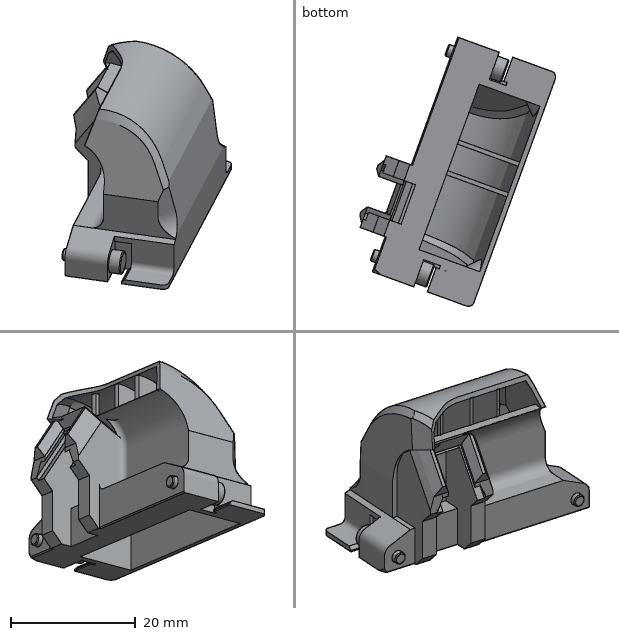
import cadquery as cq
import math

PART_TURN = 20.0
WALL = 0.8
FAR = 34.5
FRONT_X = -7.35
BACK_X = 9.65

BASE_TOP = 6.5
BASE_HALF = 15.85
EAR_HALF = 20.0
EAR_BACK_X = -0.25
EAR_SLOPE_DROP = 2.2
EAR_RADIUS = 1.9
FOOT_CHAMFER = 0.2
MARK_ALONG_X = 1.55
MARK_ALONG_Y = 0.6
MARK_HEIGHT = 0.95

FLANGE_FRONT_X = 2.03
FLANGE_THICK = 0.8
FLANGE_CHAMFER = 0.55
FLANGE_CORNER = 1.0
FLANGE_FILLET = 0.95

SCREW_Y = 17.45
SCREW_Z = 2.4
SCREW_D = 2.0
SCREW_HOLE_D = 2.1
SCREW_CHAMFER = 0.17
SCREW_PROUD = 0.95
HEAD_D = 3.8
HEAD_LENGTH = 1.95
HEAD_POCKET_TOP = 5.17
HEAD_POCKET_BACK_X = 2.6
HEAD_POCKET_Y = 15.35

HOOD_HALF = 14.9
DOME_X = -4.4
DOME_Z = 13.6
DOME_RADIUS = 12.25
DOME_END_ANGLE = math.radians(26)
DOME_FACET = 3.25
BACK_FOOT_Z = 6.9
END_TILT_Z = 13.1
NEAR_END_TILT = 0.375
FAR_END_TILT = 0.155
END_CHAMFER_ON_FACE = 1.0
END_CHAMFER_ON_DOME = 0.78
CORNER_REACH = 15.3
CORNER_FLARE_TOP = 10.35
CORNER_FLARE_RUN = 2.45
SCOOP_X = -2.35
SCOOP_FOOT_RADIUS = 2.1
SCOOP_ARC_Z = 14.55
SCOOP_ARC_RADIUS = 5.9
SILL_Z = 20.05
SPOUT_X = -10.35
SPOUT_LIP_Z = 21.25

RIM_Z = 25.1
RIM_X = -4.6
RIM_LEAN = 0.31
RIM_RISE = 4.3
RIM_DROP = 6.45
RIM_BEND_START_Y = 3.0
RIM_BEND_MID = (-4.87, 5.3)
RIM_BEND_END = (-5.78, 7.35)
SPOUT_TIP = (-8.5, 11.65)
SPOUT_HEEL = (-4.9, 13.02)

RIB_YS = (-4.23, 1.0)
POST_Y = 6.8
POST_DEPTH = 0.85
RIB_THICK = 0.7
RIB_SLANT = 0.25
RIB_FRONT_X = -4.55

FRAME_Y = 7.9
FRAME_LEAN = 0.68
RIDGE_FOOT = (-12.35, 15.52)
RIDGE_TOP_Z = 21.17
ARM_INNER = 3.35
ARM_OUTER = 6.12
ARM_BEVEL_START = 3.75
ARM_BEVEL_DROP = 3.0
SEAT_X = -5.6
BEAD_RADIUS = 0.95
BEAD_TOP_Z = 18.97


def arc_point(center, radius, angle):
    return (center[0] + radius * math.cos(angle), center[1] + radius * math.sin(angle))


SCOOP_CENTER = (SCOOP_X - SCOOP_ARC_RADIUS, SCOOP_ARC_Z)
SCOOP_FOOT_CENTER = (SCOOP_X - SCOOP_FOOT_RADIUS, BASE_TOP + SCOOP_FOOT_RADIUS)
SCOOP_FOOT_MID = arc_point(SCOOP_FOOT_CENTER, SCOOP_FOOT_RADIUS, -math.pi / 4)
SILL_ANGLE = math.asin((SILL_Z - SCOOP_ARC_Z) / SCOOP_ARC_RADIUS)
SILL_EDGE = arc_point(SCOOP_CENTER, SCOOP_ARC_RADIUS, SILL_ANGLE)
RIDGE_TOP = (RIDGE_FOOT[0] + FRAME_LEAN * (RIDGE_TOP_Z - RIDGE_FOOT[1]), RIDGE_TOP_Z)


def prism_x(points, x_start, x_end):
    """Extrude a YZ polygon from x_start to x_end."""
    outline = cq.Workplane("YZ").polyline(points).close()
    return outline.extrude(x_end - x_start).translate((x_start, 0, 0))


def prism_y(outline, y_start, y_end):
    """Extrude an open XZ outline, once closed, from y_start to y_end."""
    return outline.close().extrude(y_start - y_end).translate((0, y_start, 0))


def box(x_range, y_range, z_range):
    size = [high - low for low, high in (x_range, y_range, z_range)]
    corner = (x_range[0], y_range[0], z_range[0])
    return cq.Workplane("XY").box(*size, centered=False).translate(corner)


def leaning_prism(outline):
    """Sweep an XY outline laid out at RIM_Z up and down along the lean of the rim."""
    lean = cq.Vector(RIM_LEAN, -FAR_END_TILT, 1)
    bottom = cq.Vector(0, 0, RIM_Z) - lean * RIM_DROP
    wire = outline.close().val().translate(bottom)
    return cq.Workplane(cq.Solid.extrudeLinear(wire, [], lean * (RIM_RISE + RIM_DROP)))


def hood_outline(inset):
    """XZ outline of the hood; with an inset, that of the space inside its wall."""
    dome = (DOME_X, DOME_Z)
    radius = DOME_RADIUS - inset
    spout_x = SPOUT_X - inset
    spout_angle = math.acos((spout_x - DOME_X) / radius)
    ridge = arc_point(dome, radius, DOME_END_ANGLE)
    shoulder = (
        ridge[0] + DOME_FACET * math.sin(DOME_END_ANGLE),
        ridge[1] - DOME_FACET * math.cos(DOME_END_ANGLE),
    )
    scoop_radius = SCOOP_ARC_RADIUS + inset
    sill_angle = math.asin((SILL_Z - SCOOP_ARC_Z) / scoop_radius)
    wall_x = SCOOP_X + inset
    outline = (
        cq.Workplane("XZ")
        .moveTo(BACK_X - inset, 0)
        .lineTo(BACK_X - inset, BACK_FOOT_Z)
        .lineTo(*shoulder)
        .lineTo(*ridge)
        .threePointArc(arc_point(dome, radius, math.pi / 3), arc_point(dome, radius, spout_angle))
        .lineTo(spout_x, SPOUT_LIP_Z)
    )
    if inset:
        outline = outline.lineTo(*RIDGE_TOP)
    outline = outline.lineTo(*SILL_EDGE)
    if inset:
        outline = outline.lineTo(*arc_point(SCOOP_CENTER, scoop_radius, sill_angle))
    arc_middle = arc_point(SCOOP_CENTER, scoop_radius, sill_angle / 2)
    outline = outline.threePointArc(arc_middle, (wall_x, SCOOP_ARC_Z))
    if inset:
        return outline.lineTo(wall_x, 0)
    return (
        outline.lineTo(SCOOP_X, SCOOP_FOOT_CENTER[1])
        .threePointArc(SCOOP_FOOT_MID, (SCOOP_FOOT_CENTER[0], BASE_TOP))
        .lineTo(SCOOP_FOOT_CENTER[0], 0)
    )


def end_trim(side, tilt, half):
    """Material beyond the leaning upper part of an end face."""
    lean = (FAR - END_TILT_Z) * tilt
    points = [(half, END_TILT_Z), (half - lean, FAR), (FAR, FAR), (FAR, END_TILT_Z)]
    return prism_x([(side * y, z) for y, z in points], -FAR, FAR)


def spout_end_trim(inset):
    """Material beyond the slanting end face of the spout."""
    run_x = SPOUT_HEEL[0] - SPOUT_TIP[0]
    run_y = SPOUT_HEEL[1] - SPOUT_TIP[1]
    length = math.hypot(run_x, run_y)
    shift_x = run_y / length * inset
    shift_y = -run_x / length * inset
    past_heel = (SPOUT_HEEL[0] + run_x + shift_x, SPOUT_HEEL[1] + run_y + shift_y)
    past_tip = (SPOUT_TIP[0] - 3 * run_x + shift_x, SPOUT_TIP[1] - 3 * run_y + shift_y)
    points = [past_heel, past_tip, (past_tip[0], FAR), (past_heel[0], FAR)]
    return leaning_prism(cq.Workplane("XY").polyline(points))


def corner_trim(side, inset):
    """Material beyond a rear corner facet that flares out onto the base top."""
    run = CORNER_FLARE_RUN
    height = CORNER_FLARE_TOP - BASE_TOP
    radius = (run**2 + height**2) / (2 * run)
    half_angle = math.asin(height / radius) / 2
    middle = (radius - radius * math.cos(half_angle), CORNER_FLARE_TOP - radius * math.sin(half_angle))
    cutter = (
        cq.Workplane("XZ")
        .moveTo(0, FAR)
        .lineTo(0, CORNER_FLARE_TOP)
        .threePointArc(middle, (run, BASE_TOP))
        .lineTo(FAR, BASE_TOP)
        .lineTo(FAR, FAR)
        .close()
        .extrude(FAR, both=True)
    )
    return cutter.translate((CORNER_REACH - inset, 0, 0)).rotate((0, 0, 0), (0, 0, 1), side * 45)


def rim_trim():
    """Space in front of the window rim, which bends forward into the spout."""
    past_tip = [tip + 2 * (tip - bend) for tip, bend in zip(SPOUT_TIP, RIM_BEND_END)]
    outline = (
        cq.Workplane("XY")
        .moveTo(RIM_X, -FAR)
        .lineTo(RIM_X, RIM_BEND_START_Y)
        .threePointArc(RIM_BEND_MID, RIM_BEND_END)
        .lineTo(*past_tip)
        .lineTo(-FAR, past_tip[1])
        .lineTo(-FAR, -FAR)
    )
    return leaning_prism(outline)


def is_dome_end_edge(edge):
    """True where the dome or its rear facet meets an end face."""
    middle = edge.positionAt(0.5)
    from_dome_axis = math.hypot(middle.x - DOME_X, middle.z - DOME_Z)
    on_outside = from_dome_axis > DOME_RADIUS - WALL - 0.45 and middle.z > SCOOP_ARC_Z + 1.3
    behind_spout_front = edge.Center().x > SPOUT_X + 0.45
    return on_outside and behind_spout_front and abs(edge.tangentAt(0.5).x) > 0.4


def hood_body(inset):
    """The hood before its window opens; with an inset, the space inside it."""
    half = HOOD_HALF - inset
    body = prism_y(hood_outline(inset), -half, half)
    body = body.cut(end_trim(-1, NEAR_END_TILT, half))
    body = body.cut(end_trim(1, FAR_END_TILT, half))
    body = body.cut(spout_end_trim(inset))
    solid = body.solids().val()
    end_edges = [edge for edge in solid.Edges() if is_dome_end_edge(edge)]
    body = cq.Workplane(solid.chamfer(END_CHAMFER_ON_FACE, END_CHAMFER_ON_DOME, end_edges))
    for side in (-1, 1):
        body = body.cut(corner_trim(side, inset))
    return body


def rib(y, back_x):
    """Upright rib behind the window, with a slanting front face."""
    near = y - RIB_THICK / 2
    far = y + RIB_THICK / 2
    outline = [(RIB_FRONT_X, far), (RIB_FRONT_X + RIB_SLANT, near), (back_x, near), (back_x, far)]
    return cq.Workplane("XY", origin=(0, 0, BASE_TOP)).polyline(outline).close().extrude(FAR)


def corner_mark():
    """Small corner cut under the far ear."""
    corner = cq.Vector(FRONT_X, EAR_HALF, 0)
    on_x = corner + cq.Vector(MARK_ALONG_X, 0, 0)
    on_y = corner - cq.Vector(0, MARK_ALONG_Y, 0)
    on_z = corner + cq.Vector(0, 0, MARK_HEIGHT)
    triangles = [(on_x, on_y, on_z), (corner, on_x, on_y), (corner, on_y, on_z), (corner, on_z, on_x)]
    wires = [cq.Wire.makePolygon(triangle, close=True) for triangle in triangles]
    shell = cq.Shell.makeShell([cq.Face.makeFromWires(wire) for wire in wires])
    return cq.Workplane(cq.Solid.makeSolid(shell))


def base_body():
    """Base block with a rounded ear at each end of its front."""
    slope_end = BASE_TOP - EAR_SLOPE_DROP
    far_half = [(EAR_HALF, 0), (EAR_HALF, slope_end), (HOOD_HALF, BASE_TOP)]
    near_half = [(-y, z) for y, z in reversed(far_half)]
    base = prism_x(far_half + near_half, FRONT_X, BACK_X)
    ear_shoulders = cq.selectors.BoxSelector((-FAR, -FAR, slope_end - 0.05), (FAR, FAR, slope_end + 0.05))
    base = base.edges("|X").edges(ear_shoulders).fillet(EAR_RADIUS)
    base = base.faces("<X").edges("<Z").chamfer(FOOT_CHAMFER)
    for side in (-1, 1):
        beyond_base = sorted((side * BASE_HALF, side * FAR))
        base = base.cut(box((EAR_BACK_X, FAR), beyond_base, (-0.45, FAR)))
    between_arms = box((-FAR, SEAT_X), (FRAME_Y - ARM_INNER, FRAME_Y + ARM_INNER), (-0.45, FAR))
    return base.cut(between_arms).cut(corner_mark())


def flange(side):
    """Thin plate behind an ear, with a concave fillet up to the base wall."""
    outline = cq.Workplane("XZ").polyline([
        (FLANGE_FRONT_X, 0),
        (FLANGE_FRONT_X, FLANGE_THICK - FLANGE_CHAMFER),
        (FLANGE_FRONT_X + FLANGE_CHAMFER, FLANGE_THICK),
        (BACK_X, FLANGE_THICK),
        (BACK_X, 0),
    ])
    plate = prism_y(outline, BASE_HALF, EAR_HALF)
    plate = plate.edges("|Z and >X and >Y").fillet(FLANGE_CORNER)
    r = FLANGE_FILLET
    fillet_center = (BASE_HALF + r, FLANGE_THICK + r)
    bead = (
        cq.Workplane("YZ", origin=(HEAD_POCKET_BACK_X, 0, 0))
        .moveTo(BASE_HALF, FLANGE_THICK)
        .lineTo(BASE_HALF + r, FLANGE_THICK)
        .threePointArc(arc_point(fillet_center, r, -0.75 * math.pi), (BASE_HALF, FLANGE_THICK + r))
        .close()
        .extrude(BACK_X - HEAD_POCKET_BACK_X)
    )
    plate = plate.union(bead)
    return plate if side > 0 else plate.mirror("XZ")


def head_pocket(side):
    span = sorted((side * HEAD_POCKET_Y, side * BASE_HALF))
    return box((EAR_BACK_X, HEAD_POCKET_BACK_X), span, (-0.45, HEAD_POCKET_TOP))


def screw_hole(side):
    start = cq.Workplane("YZ", origin=(FRONT_X, side * SCREW_Y, SCREW_Z))
    return start.circle(SCREW_HOLE_D / 2).extrude(EAR_BACK_X - FRONT_X)


def arm():
    """The far arm, with Y measured from the middle of the frame."""
    inside_wall_x = SCOOP_X + 0.45
    profile = cq.Workplane("XZ").polyline([
        (inside_wall_x, 0),
        (-7.55, 0),
        (-9.4, 1.85),
        (-9.4, 8.6),
        (-11.6, 10.8),
        (-11.6, 13.8),
        RIDGE_FOOT,
        RIDGE_TOP,
        SILL_EDGE,
        (-3.9, 18.55),
        (inside_wall_x, SCOOP_ARC_Z),
    ])
    body = prism_y(profile, 0, ARM_OUTER + 0.45)
    section = [
        (2.6, 1.55),
        (3.62, 0),
        (4.23, 0),
        (5.4, 1.55),
        (ARM_OUTER, 2.9),
        (ARM_OUTER, FAR),
        (ARM_INNER, FAR),
        (ARM_INNER, 3.9),
        (4.7, 3.9),
        (4.7, 3.25),
        (3.65, 2.0),
        (2.6, 2.0),
    ]
    across = cq.Plane(
        origin=(RIDGE_FOOT[0], 0, RIDGE_FOOT[1]),
        xDir=(0, 1, 0),
        normal=(-FRAME_LEAN, 0, -1),
    )
    envelope = cq.Workplane(across).polyline(section).close().extrude(FAR, both=True)
    return body.intersect(envelope)


def arm_top_bevel():
    """Material above the bevel on the top outer edge of an arm, following the sill slope."""
    outer = ARM_OUTER + 0.85
    points = [
        (ARM_BEVEL_START, RIDGE_TOP_Z),
        (outer, RIDGE_TOP_Z - ARM_BEVEL_DROP),
        (outer, FAR),
        (ARM_BEVEL_START, FAR),
    ]
    fall = cq.Vector(SILL_EDGE[0] - RIDGE_TOP[0], 0, SILL_Z - RIDGE_TOP_Z)
    corners = [cq.Vector(RIDGE_TOP[0], y, z) - fall for y, z in points]
    wire = cq.Wire.makePolygon(corners, close=True)
    return cq.Workplane(cq.Solid.extrudeLinear(wire, [], fall * 4))


def cross_bar():
    """Bar joining the arms at the top, with the groove carried round under it."""
    profile = cq.Workplane("XZ").polyline([
        RIDGE_TOP,
        (-7.8, 19.25),
        (-7.45, 18.97),
        (-7.15, 19.4),
        (-5.6, 18.33),
        (-6.1, 17.7),
        (-2.5, 16.85),
        (-3.9, 18.55),
        SILL_EDGE,
    ])
    return prism_y(profile, -ARM_INNER - 0.45, ARM_INNER + 0.45)


def latch_frame():
    far_arm = arm()
    near_arm = far_arm.cut(arm_top_bevel()).mirror("XZ")
    return cross_bar().union(far_arm).union(near_arm).translate((0, FRAME_Y, 0))


def arm_bead():
    """Concave fillet where the near arm meets the scooped wall and the base top."""
    side_y = FRAME_Y - ARM_OUTER
    top_angle = math.asin((BEAD_TOP_Z - SCOOP_ARC_Z) / SCOOP_ARC_RADIUS)
    arc_middle = arc_point(SCOOP_CENTER, SCOOP_ARC_RADIUS, top_angle / 2)
    arc_top = arc_point(SCOOP_CENTER, SCOOP_ARC_RADIUS, top_angle)
    outline = (
        cq.Workplane("XZ")
        .moveTo(FRONT_X, BASE_TOP)
        .lineTo(SCOOP_FOOT_CENTER[0], BASE_TOP)
        .threePointArc(SCOOP_FOOT_MID, (SCOOP_X, SCOOP_FOOT_CENTER[1]))
        .lineTo(SCOOP_X, SCOOP_ARC_Z)
        .threePointArc(arc_middle, arc_top)
        .lineTo(FRONT_X, BEAD_TOP_Z)
    )
    scoop_space = prism_y(outline, side_y - 2 * BEAD_RADIUS, side_y)
    inner_edges = cq.selectors.BoxSelector(
        (FRONT_X + 0.05, side_y - 0.05, BASE_TOP - 0.05),
        (SCOOP_X + 0.05, side_y + 0.05, BEAD_TOP_Z - 0.05),
    )
    return scoop_space.cut(scoop_space.edges(inner_edges).fillet(BEAD_RADIUS))


def make_housing():
    flat_seat = box((SEAT_X, SCOOP_X), (FRAME_Y - ARM_INNER, HOOD_HALF), (BASE_TOP, SCOOP_ARC_Z))
    hood = hood_body(0).cut(rim_trim()).cut(flat_seat)
    body = base_body().union(hood).union(latch_frame()).union(arm_bead())
    for side in (-1, 1):
        body = body.union(flange(side))

    cavity = hood_body(WALL)
    body = body.cut(cavity)
    for y in RIB_YS:
        body = body.union(rib(y, FAR).intersect(cavity))
    body = body.union(rib(POST_Y, RIB_FRONT_X + POST_DEPTH).intersect(cavity))

    for side in (-1, 1):
        body = body.cut(head_pocket(side)).cut(screw_hole(side))
    return body


def make_screw(side):
    """Jack screw along X, its head bearing on the back of an ear."""
    tip_x = FRONT_X - SCREW_PROUD
    shank = cq.Workplane("YZ", origin=(tip_x, 0, 0)).circle(SCREW_D / 2).extrude(EAR_BACK_X - tip_x)
    shank = shank.faces("<X").chamfer(SCREW_CHAMFER)
    head = cq.Workplane("YZ", origin=(EAR_BACK_X, 0, 0)).circle(HEAD_D / 2).extrude(HEAD_LENGTH)
    head = head.faces(">X").chamfer(SCREW_CHAMFER)
    return shank.union(head).translate((0, side * SCREW_Y, SCREW_Z))


def turned(body):
    return body.rotate((0, 0, 0), (0, 0, 1), PART_TURN)


housing = turned(make_housing())
screws = [turned(make_screw(side)) for side in (-1, 1)]
result = cq.Compound.makeCompound([housing.val(), *(screw.val() for screw in screws)])